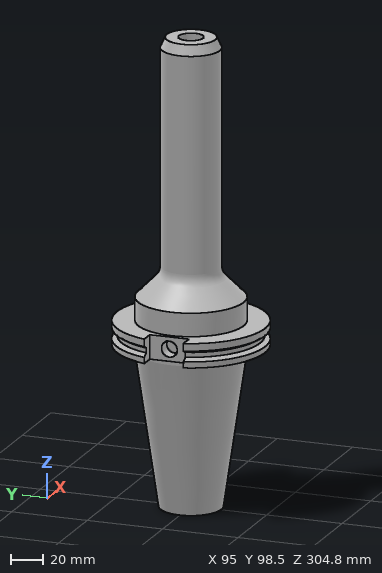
import cadquery as cq
import math

total_height = 304.8
taper_length = 101.8
gauge_radius = 35.0
taper_ratio = 7 / 24
small_end_radius = gauge_radius - taper_length * taper_ratio / 2

flange_radius = 98.5 / 2
flange_bottom = 105.2
flange_top = 121.0
lower_rim_height = 4.0
upper_rim_height = 5.0
groove_depth = 3.5
groove_wall_angle = math.radians(30)
groove_floor_radius = flange_radius - groove_depth
groove_wall_rise = groove_depth * math.tan(groove_wall_angle)
groove_bottom = flange_bottom + lower_rim_height
groove_top = flange_top - upper_rim_height

collar_radius = 69.8 / 2
collar_top = 136.2
nose_radius = 19.2
nose_fillet = 10.5
nose_chamfer_width = 3.0
nose_chamfer_height = 6.7
bore_radius = 8.0

slot_width = 26.0
left_slot_floor = 37.8
right_slot_floor = 35.5
side_hole_radius = 5.2
side_hole_depth = 9.0

shoulder_angle = math.radians(45)
fillet_center_radius = nose_radius + nose_fillet
fillet_start_radius = fillet_center_radius - nose_fillet * math.cos(shoulder_angle)
fillet_start_z = collar_top + (collar_radius - fillet_start_radius) * math.tan(shoulder_angle)
fillet_end_z = fillet_start_z + nose_fillet * math.sin(shoulder_angle)
fillet_middle_radius = fillet_center_radius - nose_fillet * math.cos(shoulder_angle / 2)
fillet_middle_z = fillet_end_z - nose_fillet * math.sin(shoulder_angle / 2)


def turned_body():
    """Revolve the half profile, including the through bore, about Z."""
    profile = (
        cq.Workplane("XZ")
        .moveTo(bore_radius, 0)
        .lineTo(small_end_radius, 0)
        .lineTo(gauge_radius, taper_length)
        .lineTo(gauge_radius, flange_bottom)
        .lineTo(flange_radius, flange_bottom)
        .lineTo(flange_radius, groove_bottom)
        .lineTo(groove_floor_radius, groove_bottom + groove_wall_rise)
        .lineTo(groove_floor_radius, groove_top - groove_wall_rise)
        .lineTo(flange_radius, groove_top)
        .lineTo(flange_radius, flange_top)
        .lineTo(collar_radius, flange_top)
        .lineTo(collar_radius, collar_top)
        .lineTo(fillet_start_radius, fillet_start_z)
        .threePointArc((fillet_middle_radius, fillet_middle_z), (nose_radius, fillet_end_z))
        .lineTo(nose_radius, total_height - nose_chamfer_height)
        .lineTo(nose_radius - nose_chamfer_width, total_height)
        .lineTo(bore_radius, total_height)
        .close()
    )
    return profile.revolve(360, (0, 0, 0), (0, 1, 0))


def drive_slot(floor_distance, side):
    """Block that clears one drive slot; side is -1 for -X and +1 for +X."""
    length = flange_radius - floor_distance
    middle_x = side * (floor_distance + length / 2)
    return (
        cq.Workplane("XY", origin=(middle_x, 0, flange_bottom))
        .rect(length, slot_width)
        .extrude(flange_top - flange_bottom)
    )


def side_hole():
    """Blind radial hole in the floor of the -X slot."""
    middle_z = (flange_bottom + flange_top) / 2
    return (
        cq.Workplane("YZ", origin=(-left_slot_floor, 0, middle_z))
        .circle(side_hole_radius)
        .extrude(side_hole_depth)
    )


result = (
    turned_body()
    .cut(drive_slot(left_slot_floor, -1))
    .cut(drive_slot(right_slot_floor, 1))
    .cut(side_hole())
)